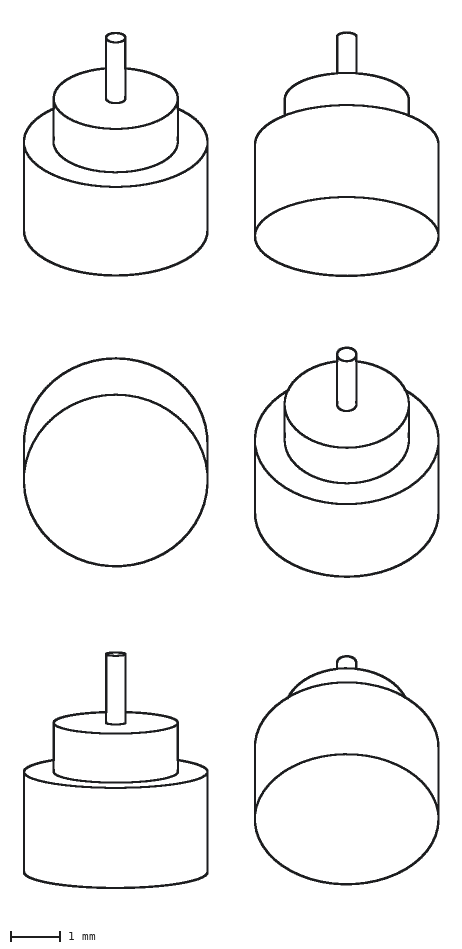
import cadquery as cq

total_height = 4.45
base_diameter = 3.7
base_height = 2.045
shoulder_diameter = 2.5
shoulder_height = 1.0
pin_diameter = 0.39
pin_height = total_height - base_height - shoulder_height


def cylinder(diameter, height, bottom):
    """Upright cylinder on the Z axis, standing at the given height."""
    return cq.Workplane("XY").workplane(offset=bottom).circle(diameter / 2).extrude(height)


base = cylinder(base_diameter, base_height, 0)
shoulder = cylinder(shoulder_diameter, shoulder_height, base_height)
pin = cylinder(pin_diameter, pin_height, base_height + shoulder_height)

result = base.union(shoulder).union(pin)